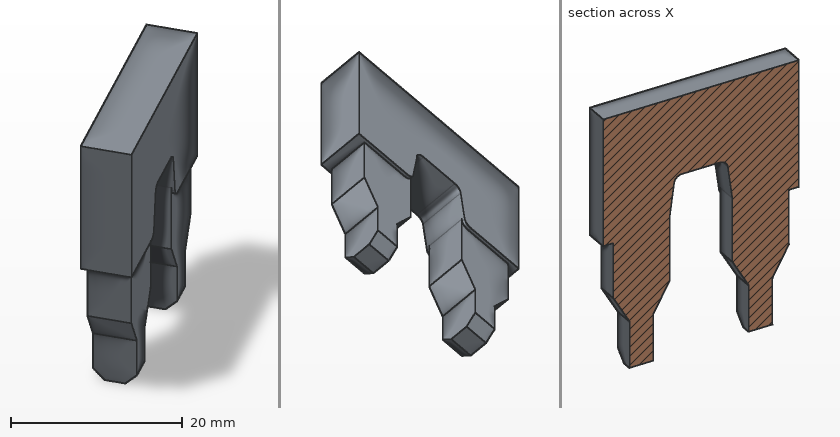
import cadquery as cq

thickness = 6.2
width = 26.5
height = 34.78

housing_bottom = 17.55
notch_top = 24.1
notch_top_width = 6.95
notch_mouth_width = 8.75
notch_radius = 1.0

leg_thickness = 5.35
leg_spacing = 16.15
shank_width = 7.72
blade_width = 3.25
taper_top = 10.2
taper_bottom = 6.3
leg_top = 20.87
tip_chamfer = 1.43


def make_housing():
    """Plain block with a rounded, downward-opening notch."""
    block = cq.Workplane("XY").box(
        thickness, width, height - housing_bottom, centered=(True, True, False)
    ).translate((0, 0, housing_bottom))
    notch = (
        cq.Workplane("YZ")
        .polyline([
            (-notch_mouth_width / 2, housing_bottom),
            (-notch_top_width / 2, notch_top),
            (notch_top_width / 2, notch_top),
            (notch_mouth_width / 2, housing_bottom),
        ])
        .close()
        .extrude(thickness / 2, both=True)
    )
    notch_edges = cq.selectors.BoxSelector(
        (-thickness, -width / 4, housing_bottom - 0.35),
        (thickness, width / 4, notch_top + 0.35),
    )
    return block.cut(notch).edges("|X").edges(notch_edges).fillet(notch_radius)


def make_leg(center_y):
    """Wide shank tapering to a narrow blade with a chamfered tip."""
    half_shank = shank_width / 2
    half_blade = blade_width / 2
    return (
        cq.Workplane("YZ")
        .polyline([
            (-half_shank, leg_top),
            (-half_shank, taper_top),
            (-half_blade, taper_bottom),
            (-half_blade, 0),
            (half_blade, 0),
            (half_blade, taper_bottom),
            (half_shank, taper_top),
            (half_shank, leg_top),
        ])
        .close()
        .extrude(leg_thickness / 2, both=True)
        .faces("<Z").edges("|Y").chamfer(tip_chamfer)
        .translate((0, center_y, 0))
    )


result = make_housing()
for side in (-1, 1):
    result = result.union(make_leg(side * leg_spacing / 2))